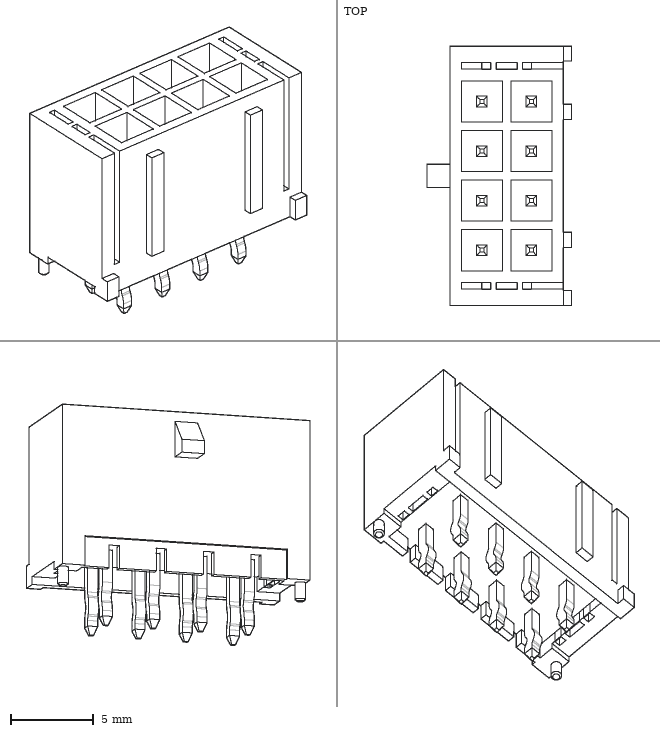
import cadquery as cq
import math

BODY_X = 6.86
BODY_Y = 15.7
BODY_Z = 9.89
PITCH = 3.0
ROWS = 4
COLUMNS = 2

POCKET_SIZE = 2.5
POCKET_FLOOR_Z = 2.01

CAVITY_Y = 12.83
CAVITY_TOP_Z = 1.4
NOTCH_TOP_Z = 0.49
NOTCH_LEFT_X = -1.71
WALL_INSET = 0.24
INSET_TOP_Z = 1.82
SLOTTED_WALL = 0.45

END_SLOT_WIDTH = 0.4
END_SLOT_Y = 6.65
CENTRE_SLOT_X = 1.25
BRIDGE = 0.35

LATCH_REACH = 1.4
LATCH_WIDTH = 1.43
LATCH_BOTTOM_Z = 7.08
LATCH_NOSE = 0.8

RAIL_REACH = 0.5
RIB_WIDTH = 0.94
RIB_Y = 3.88
RIB_BOTTOM_Z = 1.84
RIB_TOP_Z = 8.82
FOOT_WIDTH = 0.91
FOOT_X = 1.2
FOOT_TOP_Z = 1.4

PEG_DIAMETER = 0.65
PEG_LENGTH = 1.13
PEG_CHAMFER = 0.11
PEG_X = -2.48
PEG_INSET = 0.33

PIN_WIDTH = 0.65
PIN_TOP_Z = 7.88
PIN_BOTTOM_Z = -3.2
TIP_WIDTH = 0.25
TIP_LENGTH = 0.5
KINK_TOP_Z = -0.6
KINK_HEIGHT = 1.76
KINK_RADIUS = 0.93
KINK_ANGLE = math.radians(25)

LEFT_X = -BODY_X / 2
RIGHT_X = BODY_X / 2
END_Y = BODY_Y / 2
COLUMN_X = [PITCH * (i - (COLUMNS - 1) / 2) for i in range(COLUMNS)]
ROW_Y = [PITCH * (i - (ROWS - 1) / 2) for i in range(ROWS)]
PIN_PLACES = [(x, y) for x in COLUMN_X for y in ROW_Y]
PEG_Y = END_Y - PEG_INSET
FOOT_RIGHT_X = RIGHT_X + RAIL_REACH
FOOT_LEFT_X = FOOT_RIGHT_X - FOOT_X
INSET_X = LEFT_X + WALL_INSET
CAVITY_LEFT_X = INSET_X + SLOTTED_WALL


def block(x_span, y_span, z_span):
    """Box filling the given (low, high) spans along X, Y and Z."""
    low = [span[0] for span in (x_span, y_span, z_span)]
    size = [span[1] - span[0] for span in (x_span, y_span, z_span)]
    return cq.Workplane("XY").box(*size, centered=False).translate(tuple(low))


def centred(middle, width):
    """Span of the given width around a middle value."""
    return (middle - width / 2, middle + width / 2)


def latch():
    nose_x = LEFT_X - LATCH_REACH
    nose_z = LATCH_BOTTOM_Z + LATCH_NOSE
    outline = [
        (LEFT_X, LATCH_BOTTOM_Z),
        (nose_x, LATCH_BOTTOM_Z),
        (nose_x, nose_z),
        (LEFT_X, nose_z + LATCH_REACH),
    ]
    return cq.Workplane("XZ").polyline(outline).close().extrude(LATCH_WIDTH / 2, both=True)


def rib(side):
    return block(
        (RIGHT_X, FOOT_RIGHT_X), centred(side * RIB_Y, RIB_WIDTH), (RIB_BOTTOM_Z, RIB_TOP_Z)
    )


def foot(side):
    foot_y = side * (END_Y - FOOT_WIDTH / 2)
    return block((FOOT_LEFT_X, FOOT_RIGHT_X), centred(foot_y, FOOT_WIDTH), (0, FOOT_TOP_Z))


def peg(side):
    return (
        cq.Workplane("XY")
        .center(PEG_X, side * PEG_Y)
        .circle(PEG_DIAMETER / 2)
        .extrude(-PEG_LENGTH)
        .faces("<Z")
        .chamfer(PEG_CHAMFER)
    )


def cut_pockets(body):
    for x, y in PIN_PLACES:
        body = body.cut(
            block(centred(x, POCKET_SIZE), centred(y, POCKET_SIZE), (POCKET_FLOOR_Z, BODY_Z))
        )
    return body


def cut_underside(body):
    notch = block((NOTCH_LEFT_X, FOOT_LEFT_X), (-END_Y, END_Y), (0, NOTCH_TOP_Z))
    cavity = block((CAVITY_LEFT_X, FOOT_LEFT_X), centred(0, CAVITY_Y), (0, CAVITY_TOP_Z))
    inset = block((LEFT_X, INSET_X), centred(0, CAVITY_Y), (0, INSET_TOP_Z))
    body = body.cut(notch).cut(cavity).cut(inset)
    for y in ROW_Y:
        body = body.cut(
            block((INSET_X, CAVITY_LEFT_X), centred(y, PIN_WIDTH), (0, CAVITY_TOP_Z))
        )
    return body


def cut_end_slots(body, side):
    """Three slots in one end wall; they pass through between the pin columns only."""
    first_x = COLUMN_X[0] - POCKET_SIZE / 2
    inner_x = CENTRE_SLOT_X / 2
    outer_x = inner_x + BRIDGE
    slot_y = centred(side * END_SLOT_Y, END_SLOT_WIDTH)
    blind_z = (POCKET_FLOOR_Z, BODY_Z)
    through_z = (0, BODY_Z)
    body = body.cut(block((first_x, -outer_x), slot_y, blind_z))
    body = body.cut(block((outer_x, RIGHT_X), slot_y, blind_z))
    body = body.cut(block((COLUMN_X[0], -outer_x), slot_y, through_z))
    body = body.cut(block((-inner_x, inner_x), slot_y, through_z))
    return body.cut(block((outer_x, COLUMN_X[-1]), slot_y, through_z))


def kink_path():
    """Pin centreline in XZ: straight, one sideways kink towards +X, straight again."""
    arc_side = KINK_RADIUS * (1 - math.cos(KINK_ANGLE))
    arc_drop = KINK_RADIUS * math.sin(KINK_ANGLE)
    half_side = KINK_RADIUS * (1 - math.cos(KINK_ANGLE / 2))
    half_drop = KINK_RADIUS * math.sin(KINK_ANGLE / 2)
    slant_drop = KINK_HEIGHT / 2 - 2 * arc_drop
    reach = 2 * arc_side + slant_drop * math.tan(KINK_ANGLE)
    end_z = KINK_TOP_Z - KINK_HEIGHT
    middle_z = KINK_TOP_Z - KINK_HEIGHT / 2
    return (
        cq.Workplane("XZ")
        .moveTo(0, PIN_TOP_Z - TIP_LENGTH)
        .lineTo(0, KINK_TOP_Z)
        .threePointArc((half_side, KINK_TOP_Z - half_drop), (arc_side, KINK_TOP_Z - arc_drop))
        .lineTo(reach - arc_side, middle_z + arc_drop)
        .threePointArc((reach, middle_z), (reach - arc_side, middle_z - arc_drop))
        .lineTo(arc_side, end_z + arc_drop)
        .threePointArc((half_side, end_z + half_drop), (0, end_z))
        .lineTo(0, PIN_BOTTOM_Z + TIP_LENGTH)
    )


def pin_tip(base_z, end_z):
    return (
        cq.Workplane("XY", origin=(0, 0, base_z))
        .rect(PIN_WIDTH, PIN_WIDTH)
        .workplane(offset=end_z - base_z)
        .rect(TIP_WIDTH, TIP_WIDTH)
        .loft(ruled=True)
    )


def make_pin():
    """One pin on the Z axis, kinked towards +X."""
    top_base_z = PIN_TOP_Z - TIP_LENGTH
    bottom_base_z = PIN_BOTTOM_Z + TIP_LENGTH
    shaft = (
        cq.Workplane("XY", origin=(0, 0, top_base_z))
        .rect(PIN_WIDTH, PIN_WIDTH)
        .sweep(kink_path())
    )
    return shaft.union(pin_tip(top_base_z, PIN_TOP_Z)).union(pin_tip(bottom_base_z, PIN_BOTTOM_Z))


def make_pins():
    """All pins, each kinked towards the middle of the housing."""
    pins = cq.Workplane("XY")
    for x, y in PIN_PLACES:
        turn = 0 if x < 0 else 180
        pin = make_pin().rotate((0, 0, 0), (0, 0, 1), turn).translate((x, y, 0))
        pins = pins.add(pin.solids().val())
    return pins


def make_housing():
    body = block((LEFT_X, RIGHT_X), (-END_Y, END_Y), (0, BODY_Z))
    body = cut_underside(cut_pockets(body))
    body = body.union(latch())
    for side in (-1, 1):
        body = cut_end_slots(body, side)
        body = body.union(rib(side)).union(foot(side)).union(peg(side))
    for x, y in PIN_PLACES:
        pin_hole = block(centred(x, PIN_WIDTH), centred(y, PIN_WIDTH), (0, POCKET_FLOOR_Z))
        body = body.cut(pin_hole)
    return body


housing = make_housing()
pins = make_pins()
result = cq.Compound.makeCompound([housing.solids().val(), *pins.vals()])